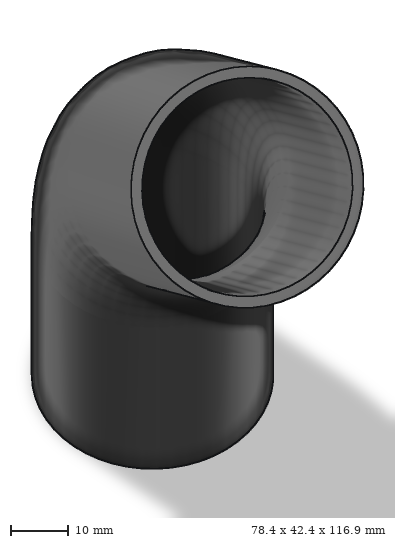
import cadquery as cq
import math

outer_diameter = 42.4
inner_diameter = 38.4

straight_length = 40.0
bend_radius = 47.5
bend_angle = 45.0


def bend_point(angle):
    """Return the (x, z) centreline point at an angle in degrees along the bend."""
    turn = math.radians(angle)
    x = bend_radius * (1 - math.cos(turn))
    z = straight_length + bend_radius * math.sin(turn)
    return (x, z)


def make_centreline():
    """Return the path of the tube, starting upward from the origin."""
    end_direction = math.radians(bend_angle)
    bend_end_x, bend_end_z = bend_point(bend_angle)
    tip_x = bend_end_x + straight_length * math.sin(end_direction)
    tip_z = bend_end_z + straight_length * math.cos(end_direction)
    return (
        cq.Workplane("XZ")
        .lineTo(0, straight_length)
        .threePointArc(bend_point(bend_angle / 2), (bend_end_x, bend_end_z))
        .lineTo(tip_x, tip_z)
    )


def make_elbow():
    """Sweep the ring section along the centreline."""
    ring = cq.Workplane("XY").circle(outer_diameter / 2).circle(inner_diameter / 2)
    return ring.sweep(make_centreline())


result = make_elbow()